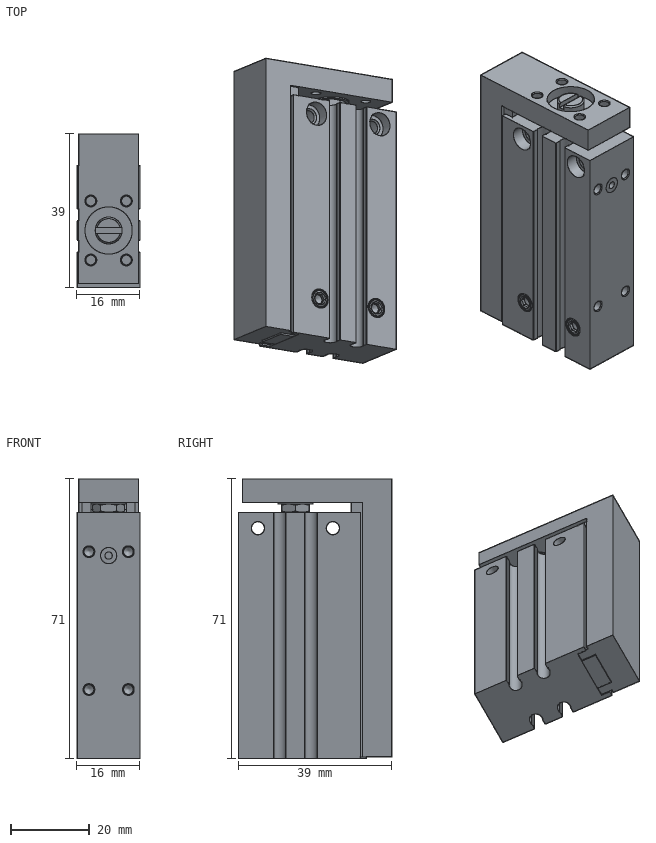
import cadquery as cq
import math

TOTAL_HEIGHT = 71.0
TOTAL_DEPTH = 39.0
CUT_MARGIN = 0.7
DRILL_POINT_ANGLE = 118.0
HEXAGON_HALF_ANGLE = math.pi / 6

HOUSING_WIDTH = 16.0
HOUSING_DEPTH = 30.95
HOUSING_HEIGHT = 62.5
PISTON_Y = 14.5

TAP_DIAMETER = 2.5
TAP_MOUTH_DIAMETER = 3.0
FRONT_TAP_DEPTH = 5.0
FRONT_TAP_SPACING_X = 10.0
FRONT_TAP_HEIGHTS = (17.55, 52.55)

GROOVE_OFFSET_Y = 4.0
GROOVE_THROAT_WIDTH = 3.0
GROOVE_THROAT_DEPTH = 1.55
GROOVE_EDGE_CHAMFER = 0.15
GROOVE_BORE_DIAMETER = 3.3
GROOVE_BORE_DEPTH = 2.3

MOUNT_SPACING_Y = 19.0
MOUNT_Z = 58.5
MOUNT_DIAMETER = 3.3
MOUNT_CHAMFER_DIAMETER = 4.1
MOUNT_COUNTERBORE_DIAMETER = 6.0
MOUNT_COUNTERBORE_DEPTH = 3.3

PORT_SPACING_Y = 17.0
PORT_Z = 10.0
PORT_DIAMETER = 4.6
PORT_MOUTH_DIAMETER = 5.0
PLUG_LENGTH = 3.55
PLUG_FACE_DIAMETER = 4.1
SOCKET_ACROSS_FLATS = 2.5
SOCKET_MOUTH_DIAMETER = 3.3
SOCKET_DEPTH = 1.1

ORIFICE_Z = 51.55
ORIFICE_DIAMETER = 4.1
ORIFICE_LENGTH = 3.55
ORIFICE_HOLE_DIAMETER = 1.85
ORIFICE_HOLE_DEPTH = 2.5

RAIL_WIDTH = 8.95
RAIL_FRONT_Y = 28.6
RAIL_BACK_Y = 32.5
RAIL_HEIGHT = 63.2
FLANKS_WIDTH = 13.5

TABLE_WIDTH = 15.2
TABLE_FRONT_Y = 1.0
TABLE_BOTTOM_Z = 0.4
ARM_THICKNESS = 6.0
LEG_THICKNESS = 7.45
ARM_UNDERSIDE_Z = TOTAL_HEIGHT - ARM_THICKNESS
LEG_FRONT_Y = TOTAL_DEPTH - LEG_THICKNESS
ARM_RECESS_DIAMETER = 12.0
ARM_RECESS_DEPTH = 2.6
ARM_BOSS_DIAMETER = 8.95
ARM_BOSS_HEIGHT = 0.35
TABLE_TAP_SPACING_X = 9.0
TABLE_TAP_SPACING_Y = 15.0

ROD_DIAMETER = 4.0
ROD_DEPTH_IN_HOUSING = 7.1
ROD_HEAD_DIAMETER = 6.8
ROD_HEAD_TOP_DIAMETER = 6.0
ROD_HEAD_TOP_Z = 70.9
ROD_SLOT_WIDTH = 1.4
ROD_SLOT_DEPTH = 1.2
NUT_ACROSS_FLATS = 7.0
NUT_CLEARANCE = 0.1
NUT_BOTTOM_Z = HOUSING_HEIGHT + NUT_CLEARANCE
NUT_TOP_Z = ARM_UNDERSIDE_Z - ARM_BOSS_HEIGHT
NUT_CHAMFER_ANGLE = 30.0

SIDES = (-1, 1)
INTO_X = cq.Vector(1, 0, 0)
INTO_Y = cq.Vector(0, 1, 0)
DOWN = cq.Vector(0, 0, -1)
UP = cq.Vector(0, 0, 1)


def block(width, y_range, z_range):
    """A box centred on X = 0."""
    depth = y_range[1] - y_range[0]
    height = z_range[1] - z_range[0]
    corner = (-width / 2, y_range[0], z_range[0])
    return cq.Workplane().box(width, depth, height, centered=False).translate(corner)


def cylinder(diameter, length, start, direction):
    return cq.Workplane(cq.Solid.makeCylinder(diameter / 2, length, cq.Vector(*start), direction))


def countersink(mouth_diameter, hole_diameter, start, direction):
    """A 45 degree cone from the mouth diameter down to the hole diameter."""
    depth = (mouth_diameter - hole_diameter) / 2
    return cq.Workplane(
        cq.Solid.makeCone(mouth_diameter / 2, hole_diameter / 2, depth, cq.Vector(*start), direction)
    )


def drilled_hole(diameter, mouth_diameter, depth, start, direction):
    """A blind hole with a chamfered mouth and a conical drill point."""
    radius = diameter / 2
    point_length = radius / math.tan(math.radians(DRILL_POINT_ANGLE / 2))
    point_start = cq.Vector(*start) + direction * depth
    point = cq.Solid.makeCone(radius, 0, point_length, point_start, direction)
    hole = cylinder(diameter, depth, start, direction).union(cq.Workplane(point))
    return hole.union(countersink(mouth_diameter, diameter, start, direction))


def port_positions():
    return [(-HOUSING_WIDTH / 2, PISTON_Y + side * PORT_SPACING_Y / 2, PORT_Z) for side in SIDES]


def sensor_groove(x_side, y_side):
    """A round-bottomed groove open to the housing side through a narrower, chamfered throat."""
    half_throat = GROOVE_THROAT_WIDTH / 2
    half_mouth = half_throat + GROOVE_EDGE_CHAMFER
    radius = GROOVE_BORE_DIAMETER / 2
    profile = (
        cq.Workplane()
        .moveTo(0, half_mouth)
        .lineTo(GROOVE_EDGE_CHAMFER, half_throat)
        .lineTo(GROOVE_THROAT_DEPTH, half_throat)
        .lineTo(GROOVE_THROAT_DEPTH, radius)
        .lineTo(GROOVE_BORE_DEPTH, radius)
        .threePointArc((GROOVE_BORE_DEPTH + radius, 0), (GROOVE_BORE_DEPTH, -radius))
        .lineTo(GROOVE_THROAT_DEPTH, -radius)
        .lineTo(GROOVE_THROAT_DEPTH, -half_throat)
        .lineTo(GROOVE_EDGE_CHAMFER, -half_throat)
        .lineTo(0, -half_mouth)
        .close()
    )
    groove = profile.extrude(HOUSING_HEIGHT)
    if x_side > 0:
        groove = groove.mirror("YZ")
    return groove.translate((x_side * HOUSING_WIDTH / 2, PISTON_Y + y_side * GROOVE_OFFSET_Y, 0))


def mounting_hole(y):
    """A through hole counterbored from the -X side, chamfered at the counterbore floor."""
    face = (-HOUSING_WIDTH / 2, y, MOUNT_Z)
    floor = (face[0] + MOUNT_COUNTERBORE_DEPTH, y, MOUNT_Z)
    return (
        cylinder(MOUNT_DIAMETER, HOUSING_WIDTH, face, INTO_X)
        .union(cylinder(MOUNT_COUNTERBORE_DIAMETER, MOUNT_COUNTERBORE_DEPTH, face, INTO_X))
        .union(countersink(MOUNT_CHAMFER_DIAMETER, MOUNT_DIAMETER, floor, INTO_X))
    )


def make_housing():
    housing = block(HOUSING_WIDTH, (0, HOUSING_DEPTH), (0, HOUSING_HEIGHT))
    housing = housing.cut(block(FLANKS_WIDTH, (RAIL_FRONT_Y, HOUSING_DEPTH), (0, HOUSING_HEIGHT)))
    for x_side in SIDES:
        for y_side in SIDES:
            housing = housing.cut(sensor_groove(x_side, y_side))
    for side in SIDES:
        housing = housing.cut(mounting_hole(PISTON_Y + side * MOUNT_SPACING_Y / 2))
    for mouth in port_positions():
        housing = housing.cut(cylinder(PORT_DIAMETER, PLUG_LENGTH, mouth, INTO_X))
        housing = housing.cut(countersink(PORT_MOUTH_DIAMETER, PORT_DIAMETER, mouth, INTO_X))
    for side in SIDES:
        for z in FRONT_TAP_HEIGHTS:
            start = (side * FRONT_TAP_SPACING_X / 2, 0, z)
            housing = housing.cut(
                drilled_hole(TAP_DIAMETER, TAP_MOUTH_DIAMETER, FRONT_TAP_DEPTH, start, INTO_Y)
            )
    housing = housing.cut(cylinder(ORIFICE_DIAMETER, ORIFICE_LENGTH, (0, 0, ORIFICE_Z), INTO_Y))
    rod_mouth = (0, PISTON_Y, HOUSING_HEIGHT)
    return housing.cut(cylinder(ROD_DIAMETER, ROD_DEPTH_IN_HOUSING, rod_mouth, DOWN))


def make_guide_rail():
    return block(RAIL_WIDTH, (RAIL_FRONT_Y, RAIL_BACK_Y), (0, RAIL_HEIGHT))


def make_table():
    """An L-shaped table: an arm over the housing and a leg that runs along the guide rail."""
    arm = block(TABLE_WIDTH, (TABLE_FRONT_Y, TOTAL_DEPTH), (ARM_UNDERSIDE_Z, TOTAL_HEIGHT))
    leg = block(TABLE_WIDTH, (LEG_FRONT_Y, TOTAL_DEPTH), (TABLE_BOTTOM_Z, ARM_UNDERSIDE_Z))
    flanks = block(FLANKS_WIDTH, (RAIL_FRONT_Y, LEG_FRONT_Y), (TABLE_BOTTOM_Z, ARM_UNDERSIDE_Z))
    boss = cylinder(ARM_BOSS_DIAMETER, ARM_BOSS_HEIGHT, (0, PISTON_Y, ARM_UNDERSIDE_Z), DOWN)
    table = arm.union(leg).union(flanks).union(boss)
    table = table.cut(block(RAIL_WIDTH, (RAIL_FRONT_Y, RAIL_BACK_Y), (TABLE_BOTTOM_Z, ARM_UNDERSIDE_Z)))
    top_centre = (0, PISTON_Y, TOTAL_HEIGHT)
    table = table.cut(cylinder(ARM_RECESS_DIAMETER, ARM_RECESS_DEPTH, top_centre, DOWN))
    table = table.cut(cylinder(ROD_DIAMETER, TOTAL_HEIGHT - NUT_TOP_Z, top_centre, DOWN))
    for x_side in SIDES:
        for y_side in SIDES:
            start = (
                x_side * TABLE_TAP_SPACING_X / 2,
                PISTON_Y + y_side * TABLE_TAP_SPACING_Y / 2,
                TOTAL_HEIGHT,
            )
            table = table.cut(cylinder(TAP_DIAMETER, ARM_THICKNESS, start, DOWN))
            table = table.cut(countersink(TAP_MOUTH_DIAMETER, TAP_DIAMETER, start, DOWN))
    return table


def make_rod():
    """The piston rod, with a chamfered and slotted head in the table recess."""
    head_bottom = TOTAL_HEIGHT - ARM_RECESS_DEPTH
    rod_bottom = HOUSING_HEIGHT - ROD_DEPTH_IN_HOUSING
    shank = cylinder(ROD_DIAMETER, head_bottom - rod_bottom, (0, PISTON_Y, rod_bottom), UP)
    head = cylinder(ROD_HEAD_DIAMETER, ROD_HEAD_TOP_Z - head_bottom, (0, PISTON_Y, head_bottom), UP)
    head = head.faces(">Z").chamfer((ROD_HEAD_DIAMETER - ROD_HEAD_TOP_DIAMETER) / 2)
    slot_y = (PISTON_Y - ROD_SLOT_WIDTH / 2, PISTON_Y + ROD_SLOT_WIDTH / 2)
    slot_z = (ROD_HEAD_TOP_Z - ROD_SLOT_DEPTH, ROD_HEAD_TOP_Z)
    slot = block(ROD_HEAD_DIAMETER + CUT_MARGIN, slot_y, slot_z)
    return shank.union(head).cut(slot)


def make_nut():
    """A hexagon nut with corners on the X axis, its corners bevelled by cones at both ends."""
    height = NUT_TOP_Z - NUT_BOTTOM_Z
    corner_diameter = NUT_ACROSS_FLATS / math.cos(HEXAGON_HALF_ANGLE)
    base = cq.Workplane("XY", origin=(0, PISTON_Y, NUT_BOTTOM_Z))
    hexagon = base.polygon(6, corner_diameter).extrude(height)
    corner_overhang = (corner_diameter - NUT_ACROSS_FLATS) / 2
    bevel_height = corner_overhang * math.tan(math.radians(NUT_CHAMFER_ANGLE))
    bevelled_round = base.circle(corner_diameter / 2).extrude(height)
    bevelled_round = bevelled_round.faces("<Z or >Z").chamfer(bevel_height, corner_overhang)
    nut = hexagon.intersect(bevelled_round)
    return nut.cut(cylinder(ROD_DIAMETER, height, (0, PISTON_Y, NUT_BOTTOM_Z), UP))


def make_orifice_screw():
    face = (0, 0, ORIFICE_Z)
    screw = cylinder(ORIFICE_DIAMETER, ORIFICE_LENGTH, face, INTO_Y)
    return screw.cut(cylinder(ORIFICE_HOLE_DIAMETER, ORIFICE_HOLE_DEPTH, face, INTO_Y))


def make_port_plug(face):
    """A plug with a bevelled face and a hexagon socket that ends in a drill point."""
    plug = cylinder(PORT_DIAMETER, PLUG_LENGTH, face, INTO_X)
    plug = plug.faces("<X").chamfer((PORT_DIAMETER - PLUG_FACE_DIAMETER) / 2)
    corner_diameter = SOCKET_ACROSS_FLATS / math.cos(HEXAGON_HALF_ANGLE)
    hexagon = cq.Workplane("YZ", origin=face).polygon(6, corner_diameter).extrude(SOCKET_DEPTH)
    pilot = drilled_hole(SOCKET_ACROSS_FLATS, SOCKET_MOUTH_DIAMETER, SOCKET_DEPTH, face, INTO_X)
    return plug.cut(hexagon).cut(pilot)


housing = make_housing()
guide_rail = make_guide_rail()
table = make_table()
rod = make_rod()
nut = make_nut()
orifice_screw = make_orifice_screw()
port_plugs = [make_port_plug(mouth) for mouth in port_positions()]

result = cq.Compound.makeCompound(
    [
        housing.val(),
        guide_rail.val(),
        table.val(),
        rod.val(),
        nut.val(),
        orifice_screw.val(),
        *[plug.val() for plug in port_plugs],
    ]
)